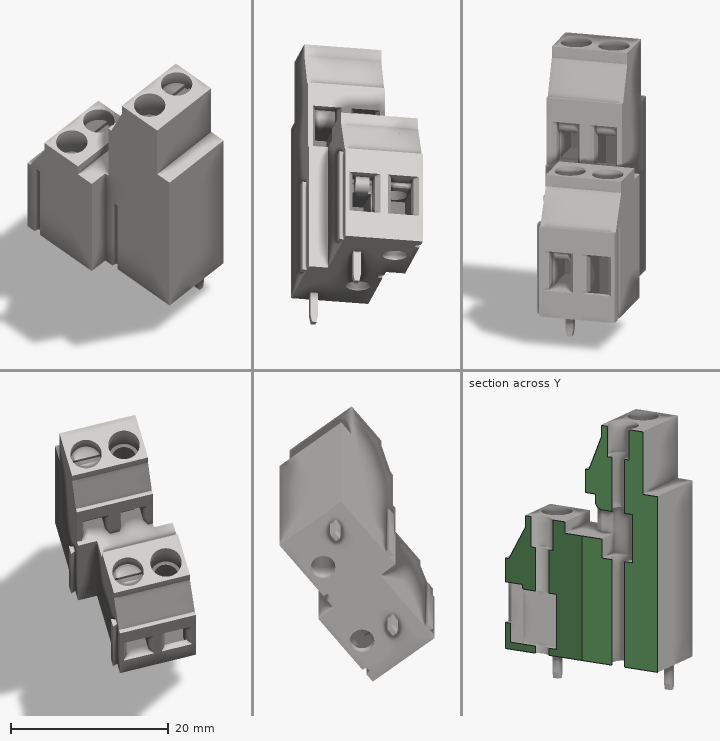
import cadquery as cq
import math


length = 22.5
level_shift_x = length / 2
pole_pitch = 5.0
pole_count = 2
level_width = pole_pitch * pole_count
level_shift_y = pole_pitch / 2
base_to_top = 31.5
pin_length = 4.0

ledge = 0.5
front_face_top = 12.0
front_slope_end_x = 2.95
front_slope_top = 16.5
front_top = 18.0
front_top_end_x = 8.85
saddle_z = 16.5
back_face_x = 11.8
back_face_top = 25.4
back_slope_end_x = 14.15
back_slope_top = 30.0
back_top_end_x = 20.35
rear_step_z = 23.25

shaft_x = 5.4
shaft_diameter = 4.0
through_diameter = 3.1
shaft_depth = 4.0
screw_sink = 2.0
slot_width = 0.8
slot_depth = 0.6

flare_depth = 0.8
throat_width = 2.9
throat_depth = 2.5
space_behind_shaft = 2.1
open_space_width = 3.4
open_space_drop = 2.5
front_lead_in = 0.2
cage_opening_width = 2.6
bar_radius = 1.06
bar_root = front_lead_in
front_entry_width = 4.0
front_entry_bottom = 3.5
front_entry_top = 8.8
front_space_top = 8.2
front_bar_width = 1.8
front_bar_bottom = 7.07
back_entry_width = 3.7
back_entry_top = 22.25
back_bar_width = 2.6
back_bar_bottom = 20.3
back_cage_floor = 16.75

rib_x = 1.7
rib_height = front_face_top
rib_depth = 0.6
rib_root_width = 0.65
rib_outer_width = 1.12
groove_mouth_width = 0.9
groove_floor_width = 0.65

pin_size = 0.95
front_pin_x = 5.5
back_pin_x = 20.5
pin_tip_height = 0.85
pin_tip_width = 0.6

joint_chamfer = 0.5
margin = 2.0

levels = [
    dict(x=0.0, y=0.0, face_x=0.0, top=front_top, pin_x=front_pin_x,
         entry_width=front_entry_width, entry_bottom=front_entry_bottom, entry_top=front_entry_top,
         space_top=front_space_top, lead_in=front_lead_in, drop_start=flare_depth,
         bar_in_open_pole=False, bar_width=front_bar_width,
         bar_bottom=front_bar_bottom, cage_floor=front_entry_bottom),
    dict(x=level_shift_x, y=level_shift_y, face_x=back_face_x, top=base_to_top, pin_x=back_pin_x,
         entry_width=back_entry_width, entry_bottom=saddle_z, entry_top=back_entry_top,
         space_top=back_bar_bottom, lead_in=0.0, drop_start=throat_depth,
         bar_in_open_pole=True, bar_width=back_bar_width,
         bar_bottom=back_bar_bottom, cage_floor=back_cage_floor),
]


def box(x0, x1, y_middle, width, z0, z1):
    """Block between x0 and x1 and z0 and z1, centred on y_middle."""
    return cq.Workplane("XY").box(x1 - x0, width, z1 - z0, centered=(False, True, False)).translate(
        (x0, y_middle, z0)
    )


def side_plate(points, y_start, width):
    """Outline in X and Z, extruded toward +Y from y_start."""
    return cq.Workplane("XZ", origin=(0, y_start, 0)).polyline(points).close().extrude(-width)


def levels_body():
    """Front level with its saddle, joined to the offset back level."""
    front = [
        (0, 0),
        (0, front_face_top),
        (ledge, front_face_top),
        (front_slope_end_x, front_slope_top),
        (front_slope_end_x, front_top),
        (front_top_end_x, front_top),
        (front_top_end_x, saddle_z),
        (level_shift_x, saddle_z),
        (level_shift_x, 0),
    ]
    back = [
        (level_shift_x, 0),
        (level_shift_x, saddle_z),
        (back_face_x, saddle_z),
        (back_face_x, back_face_top),
        (back_face_x + ledge, back_face_top),
        (back_slope_end_x, back_slope_top),
        (back_slope_end_x, base_to_top),
        (back_top_end_x, base_to_top),
        (back_top_end_x, rear_step_z),
        (length, rear_step_z),
        (length, 0),
    ]
    return side_plate(front, 0, level_width).union(side_plate(back, level_shift_y, level_width))


def trapezoid_bar(x_middle, y_start, start_width, end_width):
    """Upright bar whose width changes over rib_depth toward +Y."""
    return (
        cq.Workplane("XY")
        .polyline([
            (x_middle - start_width / 2, y_start),
            (x_middle + start_width / 2, y_start),
            (x_middle + end_width / 2, y_start + rib_depth),
            (x_middle - end_width / 2, y_start + rib_depth),
        ])
        .close()
        .extrude(rib_height)
    )


def wire_entry(level, y):
    """Flared wire opening that narrows to the throat, ending at the clamping space."""
    x0 = level["face_x"]
    x1 = x0 + flare_depth
    x2 = x0 + throat_depth
    wide = level["entry_width"] / 2
    narrow = throat_width / 2
    return (
        cq.Workplane("XY", origin=(0, 0, level["entry_bottom"]))
        .polyline([
            (x0, y - wide),
            (x1, y - narrow),
            (x2, y - narrow),
            (x2, y + narrow),
            (x1, y + narrow),
            (x0, y + wide),
        ])
        .close()
        .extrude(level["entry_top"] - level["entry_bottom"])
    )


def clamping_space(level, y, back_x, width, bottom):
    """Space behind the throat, with a bevelled upper front edge where there is a lead-in."""
    wall_x = level["face_x"] + throat_depth
    top, lead_in = level["space_top"], level["lead_in"]
    space = box(wall_x, back_x, y, width, bottom, top)
    if lead_in > 0:
        bevel = [(wall_x, top), (wall_x, top + lead_in), (wall_x + lead_in, top)]
        space = space.union(side_plate(bevel, y - width / 2, width))
    return space


def clamping_bar(level, y):
    """Bar hanging at the end of the throat, with its lower front edge rounded."""
    wall_x = level["face_x"] + throat_depth
    front_x = wall_x - bar_radius
    bottom = level["bar_bottom"]
    diagonal = bar_radius * math.sqrt(0.5)
    arc_middle = (wall_x - diagonal, bottom + bar_radius - diagonal)
    back_x = wall_x + bar_root
    return (
        cq.Workplane("XZ", origin=(0, y - level["bar_width"] / 2, 0))
        .moveTo(back_x, level["entry_top"])
        .lineTo(front_x, level["entry_top"])
        .lineTo(front_x, bottom + bar_radius)
        .threePointArc(arc_middle, (wall_x, bottom))
        .lineTo(back_x, bottom)
        .close()
        .extrude(-level["bar_width"])
    )


def round_hole(x, y, diameter, z0, z1):
    """Upright cylinder between two heights."""
    return cq.Workplane("XY", origin=(x, y, z0)).circle(diameter / 2).extrude(z1 - z0)


def solder_pin(x, y):
    """Square pin below the base, tapered in Y at its tip."""
    half = pin_size / 2
    half_tip = pin_tip_width / 2
    return (
        cq.Workplane("YZ", origin=(x - half, 0, 0))
        .polyline([
            (y - half, 0),
            (y - half, pin_tip_height - pin_length),
            (y - half_tip, -pin_length),
            (y + half_tip, -pin_length),
            (y + half, pin_tip_height - pin_length),
            (y + half, 0),
        ])
        .close()
        .extrude(pin_size)
    )


def cut_open_pole(block, level, y):
    """Empty pole: wire entry, clamping space and a stepped shaft through to the base."""
    x, top = level["x"] + shaft_x, level["top"]
    block = block.cut(wire_entry(level, y))
    back_x = x + space_behind_shaft
    entry_floor = level["entry_bottom"]
    space_floor = entry_floor - open_space_drop
    drop_x = level["face_x"] + level["drop_start"]
    block = block.cut(clamping_space(level, y, back_x, open_space_width, space_floor))
    block = block.cut(box(drop_x, back_x, y, throat_width, space_floor, entry_floor))
    block = block.cut(round_hole(x, y, shaft_diameter, top - shaft_depth, top))
    return block.cut(round_hole(x, y, through_diameter, 0, top))


def cut_fitted_pole(block, level, y):
    """Pole with its screw, cage and pin: the cage opening is narrower than the throat."""
    x, top = level["x"] + shaft_x, level["top"]
    cage_x = level["face_x"] + throat_depth + level["lead_in"]
    head_z = top - screw_sink
    slot_x0 = x - slot_width / 2
    slot = box(slot_x0, slot_x0 + slot_width, y, shaft_diameter, head_z - slot_depth, head_z)
    slot = slot.intersect(round_hole(x, y, shaft_diameter, head_z - slot_depth, head_z))
    cage_opening = box(
        cage_x, x + space_behind_shaft, y, cage_opening_width, level["cage_floor"], level["bar_bottom"]
    )
    block = block.cut(wire_entry(level, y)).cut(cage_opening)
    if level["lead_in"] > 0:
        block = block.cut(clamping_space(level, y, cage_x, throat_width, level["entry_bottom"]))
    block = block.cut(round_hole(x, y, shaft_diameter, head_z, top)).cut(slot)
    return block.union(solder_pin(level["pin_x"], y))


def complete_block():
    """The whole terminal block before it is divided into slices."""
    block = levels_body()
    for level in levels:
        open_y = level["y"] + pole_pitch / 2
        fitted_y = open_y + pole_pitch
        block = cut_open_pole(block, level, open_y)
        block = cut_fitted_pole(block, level, fitted_y)
        block = block.union(clamping_bar(level, fitted_y))
        if level["bar_in_open_pole"]:
            block = block.union(clamping_bar(level, open_y))
        x = level["x"] + rib_x
        far_side = level["y"] + level_width
        block = block.union(trapezoid_bar(x, far_side, rib_root_width, rib_outer_width))
        block = block.cut(trapezoid_bar(x, level["y"], groove_mouth_width, groove_floor_width))
    return block


def joint_line(front_y):
    """Stepped joint: straight through a front pole, over to the back pole half a pitch away."""
    back_y = front_y + level_shift_y
    return [
        (-margin, front_y),
        (level_shift_x - joint_chamfer, front_y),
        (level_shift_x, front_y + joint_chamfer),
        (level_shift_x, back_y - joint_chamfer),
        (level_shift_x + joint_chamfer, back_y),
        (length + margin, back_y),
    ]


def slice_between(block, near_line, far_line):
    """The part of the block between two lines that both run toward +X."""
    region = (
        cq.Workplane("XY", origin=(0, 0, -pin_length - margin))
        .polyline(near_line + far_line[::-1])
        .close()
        .extrude(base_to_top + pin_length + 2 * margin)
    )
    return block.intersect(region).solids()


block = complete_block()
first_joint = joint_line(pole_pitch / 2)
second_joint = joint_line(pole_pitch * 3 / 2)
near_limit = [(-margin, -margin), (length + margin, -margin)]
far_y = level_shift_y + level_width + rib_depth + margin
far_limit = [(-margin, far_y), (length + margin, far_y)]

near_end_slice = slice_between(block, near_limit, first_joint)
middle_slice = slice_between(block, first_joint, second_joint)
far_end_slice = slice_between(block, second_joint, far_limit)

result = cq.Compound.makeCompound([near_end_slice.val(), middle_slice.val(), far_end_slice.val()])